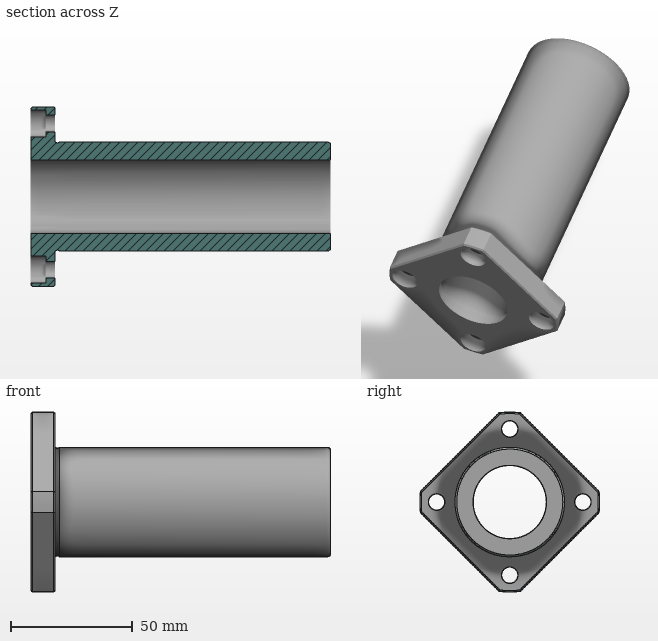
import cadquery as cq

total_length = 123.0
body_diameter = 45.0
bore_diameter = 30.0

flange_thickness = 10.0
flange_round_diameter = 73.9
flange_square_side = 58.0
flange_chamfer = 0.6

groove_width = 1.8
groove_depth = 0.4
end_rounding_length = 1.5
end_rounding_depth = 0.7
end_rounding_radius = (end_rounding_length**2 + end_rounding_depth**2) / (2 * end_rounding_depth)

bolt_circle_diameter = 60.0
bolt_hole_diameter = 6.6
counterbore_diameter = 11.0
counterbore_depth = 6.2
bolt_hole_count = 4


def make_flange():
    """Square plate with turned corners, chamfered on both faces."""
    disc = cq.Workplane("YZ").circle(flange_round_diameter / 2).extrude(flange_thickness)
    square = (
        cq.Workplane("YZ")
        .transformed(rotate=(0, 0, 45))
        .rect(flange_square_side, flange_square_side)
        .extrude(flange_thickness)
    )
    return disc.intersect(square).faces("<X or >X").chamfer(flange_chamfer)


def make_sleeve():
    """Turned body with its relief groove and rounded end, revolved about the X axis."""
    body_radius = body_diameter / 2
    groove_middle = (flange_thickness + groove_width / 2, body_radius - groove_depth)
    groove_end = (flange_thickness + groove_width, body_radius)
    return (
        cq.Workplane("XY")
        .lineTo(0, body_radius)
        .lineTo(flange_thickness, body_radius)
        .threePointArc(groove_middle, groove_end)
        .lineTo(total_length - end_rounding_length, body_radius)
        .radiusArc((total_length, body_radius - end_rounding_depth), end_rounding_radius)
        .lineTo(total_length, 0)
        .close()
        .revolve(360, (0, 0, 0), (1, 0, 0))
    )


def make_bolt_holes():
    """Through holes with counterbores sunk from the outer flange face."""
    def cylinders(diameter, depth):
        return (
            cq.Workplane("YZ")
            .polarArray(bolt_circle_diameter / 2, 0, 360, bolt_hole_count)
            .circle(diameter / 2)
            .extrude(depth)
        )

    through_holes = cylinders(bolt_hole_diameter, flange_thickness)
    counterbores = cylinders(counterbore_diameter, counterbore_depth)
    return through_holes.union(counterbores)


bore = cq.Workplane("YZ").circle(bore_diameter / 2).extrude(total_length)

result = make_flange().union(make_sleeve()).cut(bore).cut(make_bolt_holes())